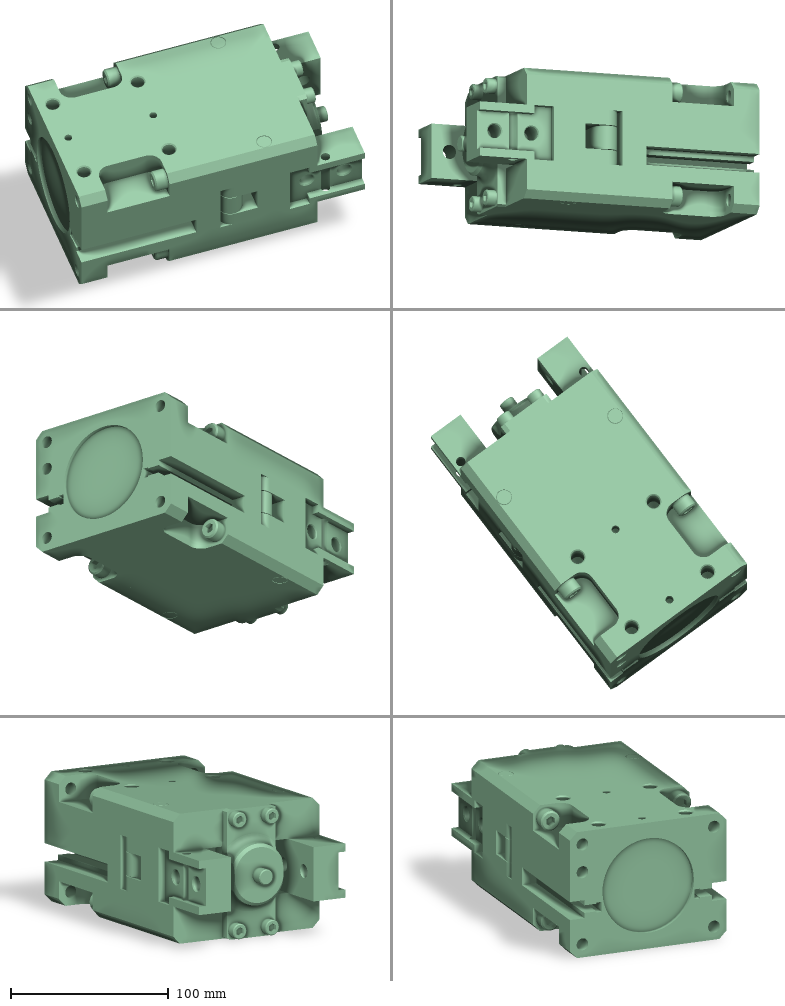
import cadquery as cq
import math

SIDES = (-1, 1)

width = 108.0
height = 84.0
corner_chamfer = 5.0
joint_y = 77.0
head_back_y = 158.2
overall_length = 190.0

cover_diameter = 63.0
cover_recess = 3.0
bolt_x = 45.3
bolt_z = 33.3
access_hole_diameter = 8.0
port_z = 14.8
port_diameter = 8.0
port_depth = 15.0
pocket_start_y = 17.6
pocket_end_y = 59.1
pocket_inner_x = 30.5
pocket_floor_z = 25.7
pocket_corner_radius = 8.0
groove_z = -10.0
groove_steps = ((10.0, 12.0), (18.4, 5.1), (22.0, 6.6))
mount_rows_y = (10.0, 67.0)
mount_x = 30.0
mount_core_diameter = 8.5
mount_rim_diameter = 10.0
mount_depth = 18.0
dowel_diameter = 5.0
dowel_depth = 8.0
drill_point_angle = 118.0

front_screw = (13.0, 8.4, 6.0, 1.0)
rear_screw = (10.0, 6.3, 5.0, 0.6)

slot_start_y = 93.3
jaw_height = 35.0
pivot_x = 44.0
pivot_y = 126.0
pivot_diameter = 10.0
pivot_edge = 0.5
plate_width = 36.0
plate_back_y = 164.0
plate_chamfer_x = 3.0
plate_chamfer_z = 1.2
rear_screw_x = 12.0
rear_screw_z = 36.0
boss_radius = 20.0
boss_fillet = 5.0
boss_chamfer = 2.0
boss_back_y = 174.0
stud_diameter = 10.0
stud_back_y = 182.8
stud_edge = 0.6

jaw_outer_x = width / 2
jaw_inner_x = 30.5
jaw_end_radius = 8.0
jaw_end_gap = 1.0
jaw_end_y = slot_start_y + jaw_end_gap
jaw_eye_y = jaw_end_y + jaw_end_radius
fork_gap = 16.0
fork_root_y = 118.2
web_x = 49.0
web_start_y = 139.8
flange_start_y = 153.0
flange_thickness = 5.2
jaw_hole_rows_y = (153.0, 178.0)
jaw_hole_diameter = 9.0
jaw_hole_rim = 10.4
cross_hole_x = 48.7
cross_hole_y = 165.5
cross_hole_diameter = 6.0

link_height = 15.0
link_inner_x = 12.0


def box(x_range, y_range, z_range):
    """Box from its limits along each axis, given in either order."""
    limits = [sorted(r) for r in (x_range, y_range, z_range)]
    size = [high - low for low, high in limits]
    corner = cq.Vector(*[low for low, high in limits])
    return cq.Workplane(obj=cq.Solid.makeBox(*size, corner))


def cylinder(diameter, start, direction, length):
    solid = cq.Solid.makeCylinder(diameter / 2, length, cq.Vector(*start), cq.Vector(*direction))
    return cq.Workplane(obj=solid)


def cone(start_diameter, end_diameter, start, direction, length):
    solid = cq.Solid.makeCone(
        start_diameter / 2, end_diameter / 2, length, cq.Vector(*start), cq.Vector(*direction)
    )
    return cq.Workplane(obj=solid)


def drilled_hole(diameter, start, direction, depth):
    """Cutter for a blind hole with a conical drill point."""
    point_length = diameter / 2 / math.tan(math.radians(drill_point_angle / 2))
    point_start = [s + depth * d for s, d in zip(start, direction)]
    shaft = cylinder(diameter, start, direction, depth)
    return shaft.union(cone(diameter, 0, point_start, direction, point_length))


def chamfered_bar(y_start, y_end):
    bar = box((-width / 2, width / 2), (y_start, y_end), (-height / 2, height / 2))
    return bar.edges("|Y").chamfer(corner_chamfer)


def screw_head(size, x, seat_y, z, y_direction):
    """Socket head standing on the face y = seat_y and pointing along y_direction."""
    diameter, head_height, across_flats, edge_chamfer = size
    plane = cq.Plane(origin=(x, seat_y, z), xDir=(0, 0, 1), normal=(0, y_direction, 0))
    head = cq.Workplane(plane).circle(diameter / 2).extrude(head_height)
    head = head.faces(">Y" if y_direction > 0 else "<Y").edges().chamfer(edge_chamfer)
    socket_depth = head_height / 2
    across_corners = across_flats / math.cos(math.radians(30))
    socket = (
        cq.Workplane(plane).workplane(offset=head_height - socket_depth)
        .polygon(6, across_corners).extrude(socket_depth)
    )
    return head.cut(socket)


def screw_pocket(side_x, side_z):
    """Corner pocket giving access to a fixing screw, rounded on its inner upright edges."""
    pocket = box(
        (side_x * pocket_inner_x, side_x * width),
        (pocket_start_y, pocket_end_y),
        (side_z * pocket_floor_z, side_z * height),
    )
    inner_edges = "<X" if side_x > 0 else ">X"
    return pocket.faces(inner_edges).edges("|Z").fillet(pocket_corner_radius)


def side_groove(side_x):
    """Stepped sensor groove along the side face."""
    groove = None
    start = 0.0
    for depth, opening in groove_steps:
        step = box(
            (side_x * (width / 2 - start), side_x * (width / 2 - depth)),
            (0, joint_y),
            (groove_z - opening / 2, groove_z + opening / 2),
        )
        groove = groove.union(step) if groove else step
        start = depth
    return groove


def mount_hole(x, y):
    """Tapped hole in the top face with a chamfered rim."""
    down = (0, 0, -1)
    start = (x, y, height / 2)
    rim_depth = (mount_rim_diameter - mount_core_diameter) / 2
    rim = cone(mount_rim_diameter, mount_core_diameter, start, down, rim_depth)
    return drilled_hole(mount_core_diameter, start, down, mount_depth).union(rim)


def make_cylinder_block():
    block = chamfered_bar(0, joint_y)
    inward = (0, 1, 0)
    block = block.cut(cylinder(cover_diameter, (0, 0, 0), inward, cover_recess))
    block = block.cut(drilled_hole(port_diameter, (-bolt_x, 0, port_z), inward, port_depth))
    for side_x in SIDES:
        block = block.cut(side_groove(side_x))
        for side_z in SIDES:
            x = side_x * bolt_x
            z = side_z * bolt_z
            block = block.cut(screw_pocket(side_x, side_z))
            block = block.cut(cylinder(access_hole_diameter, (x, 0, z), inward, pocket_start_y))
            block = block.union(screw_head(front_screw, x, pocket_end_y, z, -1))
    for y in mount_rows_y:
        for side_x in SIDES:
            block = block.cut(mount_hole(side_x * mount_x, y))
        block = block.cut(drilled_hole(dowel_diameter, (0, y, height / 2), (0, 0, -1), dowel_depth))
    return block


def rear_plate():
    half_width = plate_width / 2
    plate = box((-half_width, half_width), (head_back_y, plate_back_y), (-height / 2, height / 2))
    for side_x in SIDES:
        for side_z in SIDES:
            x = side_x * half_width
            z = side_z * height / 2
            bevel = (
                cq.Workplane("XZ", origin=(0, head_back_y, 0))
                .polyline([(x, z), (x - side_x * plate_chamfer_x, z), (x, z - side_z * plate_chamfer_z)])
                .close().extrude(head_back_y - plate_back_y)
            )
            plate = plate.cut(bevel)
            screw = screw_head(rear_screw, side_x * rear_screw_x, plate_back_y, side_z * rear_screw_z, 1)
            plate = plate.union(screw)
    return plate


def rear_boss():
    """Round boss with a flared foot, trimmed to the plate width, carrying a stud."""
    flare = boss_fillet * (1 - math.sqrt(0.5))
    boss = (
        cq.Workplane("XY")
        .moveTo(0, plate_back_y)
        .lineTo(boss_radius + boss_fillet, plate_back_y)
        .threePointArc(
            (boss_radius + flare, plate_back_y + flare),
            (boss_radius, plate_back_y + boss_fillet),
        )
        .lineTo(boss_radius, boss_back_y - boss_chamfer)
        .lineTo(boss_radius - boss_chamfer, boss_back_y)
        .lineTo(0, boss_back_y)
        .close()
        .revolve(360, (0, 0, 0), (0, 1, 0))
    )
    plate_strip = box((-plate_width / 2, plate_width / 2), (plate_back_y, boss_back_y), (-height, height))
    stud = cylinder(stud_diameter, (0, boss_back_y, 0), (0, 1, 0), stud_back_y - boss_back_y)
    stud = stud.faces(">Y").edges().chamfer(stud_edge)
    return boss.intersect(plate_strip).union(stud)


def pivot_pin(side_x):
    """Pin across the jaw slot, running out flush with the head's upper and lower faces."""
    pin = cylinder(pivot_diameter, (side_x * pivot_x, pivot_y, -height / 2), (0, 0, 1), height)
    return pin.faces("<Z or >Z").edges().chamfer(pivot_edge)


def make_jaw_head():
    head = chamfered_bar(joint_y, head_back_y)
    head = head.cut(box((-width, width), (slot_start_y, head_back_y), (-jaw_height / 2, jaw_height / 2)))
    for side_x in SIDES:
        bore = cylinder(pivot_diameter, (side_x * pivot_x, pivot_y, -height / 2), (0, 0, 1), height)
        head = head.cut(bore).union(pivot_pin(side_x))
    return head.union(rear_plate()).union(rear_boss())


def make_jaw(side_x):
    """Forked jaw with a flanged mounting end, shaped on the -X side and mirrored for the +X side."""
    half = jaw_height / 2
    jaw = box((-jaw_outer_x, -jaw_inner_x), (jaw_end_y, overall_length), (-half, half))
    jaw = jaw.edges("|Z and <X and <Y").fillet(jaw_end_radius)
    fork = box((-jaw_outer_x, -jaw_inner_x), (jaw_end_y, fork_root_y), (-fork_gap / 2, fork_gap / 2))
    jaw = jaw.cut(fork)
    channel = half - flange_thickness
    jaw = jaw.cut(box((-jaw_outer_x, -web_x), (web_start_y, flange_start_y), (-half, half)))
    jaw = jaw.cut(box((-jaw_outer_x, -web_x), (flange_start_y, overall_length), (-channel, channel)))
    rim_depth = (jaw_hole_rim - jaw_hole_diameter) / 2
    for y in jaw_hole_rows_y:
        start = (-web_x, y, 0)
        jaw = jaw.cut(cylinder(jaw_hole_diameter, start, (1, 0, 0), web_x - jaw_inner_x))
        jaw = jaw.cut(cone(jaw_hole_rim, jaw_hole_diameter, start, (1, 0, 0), rim_depth))
    up = (0, 0, 1)
    jaw = jaw.cut(cylinder(cross_hole_diameter, (-cross_hole_x, cross_hole_y, -half), up, jaw_height))
    jaw = jaw.cut(cylinder(pivot_diameter, (-pivot_x, pivot_y, -half), up, jaw_height))
    return jaw.mirror("YZ") if side_x > 0 else jaw


def make_link(side_x):
    """Flat link with round ends, lying in the jaw's fork and reaching towards the middle."""
    length = jaw_outer_x - link_inner_x
    middle_x = side_x * (jaw_outer_x - length / 2)
    return (
        cq.Workplane("XY", origin=(middle_x, jaw_eye_y, -link_height / 2))
        .slot2D(length, 2 * jaw_end_radius).extrude(link_height)
    )


cylinder_block = make_cylinder_block()
jaw_head = make_jaw_head()
jaws = [make_jaw(side_x) for side_x in SIDES]
links = [make_link(side_x) for side_x in SIDES]

result = cq.Compound.makeCompound(
    [cylinder_block.val(), jaw_head.val()]
    + [jaw.val() for jaw in jaws]
    + [link.val() for link in links]
)